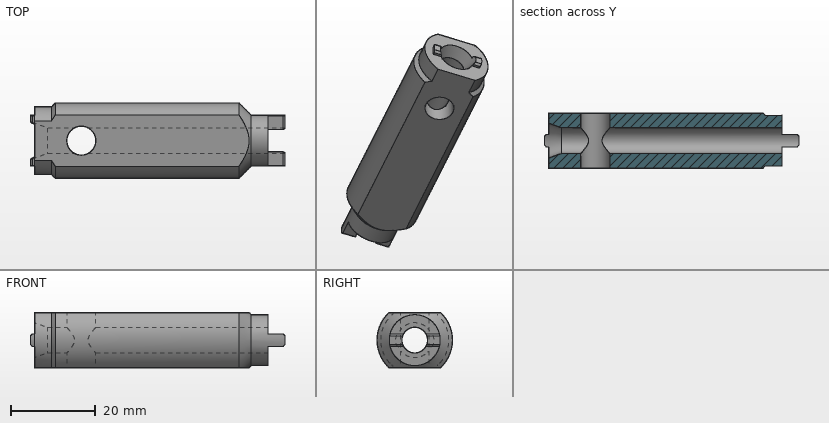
import cadquery as cq

collar_diameter = 16.0
body_diameter = 17.8
neck_diameter = 12.0
bore_diameter = 6.0
countersink_diameter = 9.0
cross_hole_diameter = 6.8

end_face_x = 1.0
collar_end_x = 5.0
body_start_x = collar_end_x + (body_diameter - collar_diameter) / 2
neck_start_x = 52.0
body_end_x = neck_start_x - (body_diameter - neck_diameter) / 2
neck_end_x = 56.0
total_length = 60.0
countersink_bottom_x = 4.0
cross_hole_x = 12.0

flat_thickness = 13.0
lug_height = 3.0
lug_chamfer = 0.5


def revolve_about_x(profile):
    """Turn a closed (x, radius) outline about the X axis."""
    return cq.Workplane("XY").polyline(profile).close().revolve(360, (0, 0, 0), (1, 0, 0))


def make_turned_bar():
    """Stepped round bar, with the neck diameter carried out to both ends for the lugs."""
    collar_radius = collar_diameter / 2
    body_radius = body_diameter / 2
    neck_radius = neck_diameter / 2
    return revolve_about_x([
        (0, 0),
        (0, neck_radius),
        (end_face_x, neck_radius),
        (end_face_x, collar_radius),
        (collar_end_x, collar_radius),
        (body_start_x, body_radius),
        (body_end_x, body_radius),
        (neck_start_x, neck_radius),
        (total_length, neck_radius),
        (total_length, 0),
    ])


def make_milled_envelope():
    """Side silhouette: a thick slab between the end faces, with a chamfered lug tongue at each end."""
    slab = cq.Workplane("XY", origin=(end_face_x, 0, 0)).box(
        neck_end_x - end_face_x, body_diameter, flat_thickness, centered=(False, True, True)
    )
    tongue = cq.Workplane("XY").box(total_length, body_diameter, lug_height, centered=(False, True, True))
    tongue = tongue.faces("<X or >X").edges("|Y").chamfer(lug_chamfer)
    return slab.union(tongue)


def make_bore():
    """Through bore, which also splits each tongue into two lugs."""
    return cq.Workplane("YZ").circle(bore_diameter / 2).extrude(total_length)


def make_countersink():
    """Cone that narrows from the short lugs down to the bore."""
    return revolve_about_x([
        (0, 0),
        (0, countersink_diameter / 2),
        (countersink_bottom_x, bore_diameter / 2),
        (countersink_bottom_x, 0),
    ])


def make_cross_hole():
    """Round hole through both flats."""
    hole = cq.Workplane("XY").center(cross_hole_x, 0).circle(cross_hole_diameter / 2)
    return hole.extrude(flat_thickness / 2, both=True)


result = make_turned_bar().intersect(make_milled_envelope())
result = result.cut(make_bore())
result = result.cut(make_countersink())
result = result.cut(make_cross_hole())